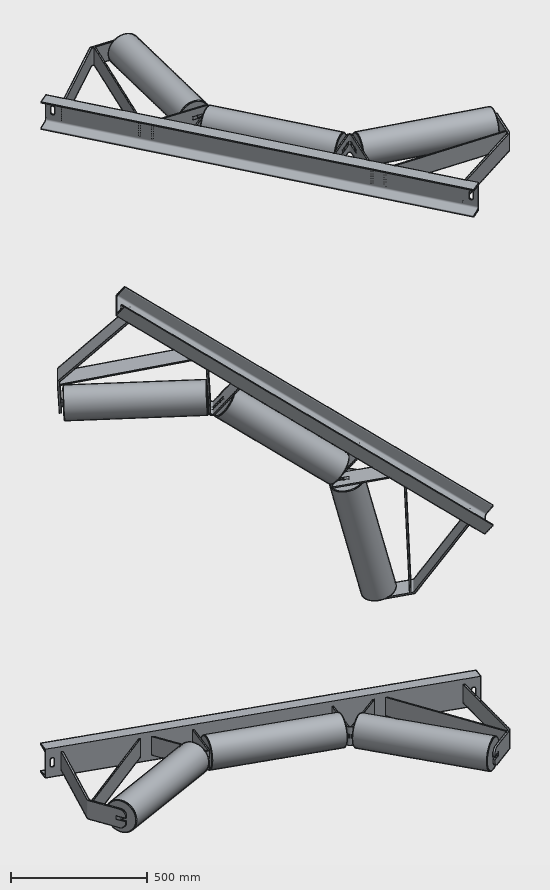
import cadquery as cq
import math

CHANNEL_LENGTH = 1700
CHANNEL_HEIGHT = 120
CHANNEL_DEPTH = 52
WEB_THICKNESS = 4.8
FLANGE_ROOT_THICKNESS = 10.5
FLANGE_TIP_THICKNESS = 6
FLANGE_ROOT_RADIUS = 7.5
FLANGE_TIP_RADIUS = 3
MOUNTING_SLOT_WIDTH = 16
MOUNTING_SLOT_HEIGHT = 38
MOUNTING_SLOT_END_DISTANCE = 28

ROLLER_DIAMETER = 133
ROLLER_LENGTH = 530
ROLLER_EDGE_CHAMFER = 3
TROUGH_ANGLE = 40
AXLE_DIAMETER = 25
AXLE_END_WIDTH = 14
AXLE_END_HEIGHT = 20
TOP_HEIGHT = 582.26
CENTRE_AXIS_HEIGHT = 169
WING_OUTER_END_X = 727

OUTER_BAR_THICKNESS = 8
INNER_BAR_THICKNESS = 6
BAR_WIDTH = 77
BEND_RADIUS = 6
CENTRE_GAP = 4
WING_INNER_GAP = 3
OUTER_GAP = 9
OUTER_BEND_HEIGHT = 443
STRUT_FOOT_X = 788
BRACE_FOOT_X = 482
PLATE_TIP_ABOVE_AXIS = 30
BRACE_BELOW_AXIS = 115
PLATE_TIP_RADIUS = 25
SLOT_CUT_LENGTH = 100
CENTRE_REACH = CENTRE_GAP + INNER_BAR_THICKNESS
WING_INNER_REACH = WING_INNER_GAP + INNER_BAR_THICKNESS
OUTER_REACH = OUTER_GAP + OUTER_BAR_THICKNESS

COS = math.cos(math.radians(TROUGH_ANGLE))
SIN = math.sin(math.radians(TROUGH_ANGLE))
WING_AXIS = cq.Vector(-COS, SIN, 0)
WING_ACROSS = cq.Vector(SIN, COS, 0)
VERTICAL = cq.Vector(0, 1, 0)
WING_OUTER_END_Y = TOP_HEIGHT - ROLLER_DIAMETER / 2 * COS + ROLLER_EDGE_CHAMFER * SIN
WING_OUTER_END = cq.Vector(-WING_OUTER_END_X, WING_OUTER_END_Y, 0)
WING_INNER_END = WING_OUTER_END - WING_AXIS * ROLLER_LENGTH
CENTRE_END = cq.Vector(-ROLLER_LENGTH / 2, CENTRE_AXIS_HEIGHT, 0)
CENTRE_AXIS = cq.Vector(1, 0, 0)


def mirrored(body):
    return body.mirror("YZ")


def line_meeting(point_a, direction_a, point_b, direction_b):
    """Point where two lines in the XY plane meet."""
    gap = point_b - point_a
    along = gap.cross(direction_b).z / direction_a.cross(direction_b).z
    return point_a + direction_a * along


def make_channel():
    half = CHANNEL_HEIGHT / 2
    inner_y = CHANNEL_DEPTH - WEB_THICKNESS
    root_z = half - FLANGE_ROOT_THICKNESS
    tip_z = half - FLANGE_TIP_THICKNESS
    outline = [
        (0, half), (CHANNEL_DEPTH, half), (CHANNEL_DEPTH, -half), (0, -half),
        (0, -tip_z), (inner_y, -root_z), (inner_y, root_z), (0, tip_z),
    ]
    channel = cq.Workplane("YZ").polyline(outline).close().extrude(CHANNEL_LENGTH / 2, both=True)
    for side in (-1, 1):
        root = cq.selectors.NearestToPointSelector((0, inner_y, side * root_z))
        channel = channel.edges(root).fillet(FLANGE_ROOT_RADIUS)
        tip = cq.selectors.NearestToPointSelector((0, 0, side * tip_z))
        channel = channel.edges(tip).fillet(FLANGE_TIP_RADIUS)
    slot_x = CHANNEL_LENGTH / 2 - MOUNTING_SLOT_END_DISTANCE
    slots = (
        cq.Workplane("XZ")
        .pushPoints([(-slot_x, 0), (slot_x, 0)])
        .slot2D(MOUNTING_SLOT_HEIGHT, MOUNTING_SLOT_WIDTH, 90)
        .extrude(-CHANNEL_DEPTH)
    )
    return channel.cut(slots)


def extrude_bar(corners):
    points = [(corner.x, corner.y) for corner in corners]
    return cq.Workplane("XY").polyline(points).close().extrude(BAR_WIDTH / 2, both=True)


def bent_bar(start, bend, end, thickness):
    """Strip with one bend; the points lie on its outer face, its thickness is to the right of travel."""
    first = (bend - start).normalized()
    second = (end - bend).normalized()
    first_inward = cq.Vector(first.y, -first.x, 0) * thickness
    second_inward = cq.Vector(second.y, -second.x, 0) * thickness
    inner_bend = line_meeting(start + first_inward, first, end + second_inward, second)
    bar = extrude_bar([start, bend, end, end + second_inward, inner_bend, start + first_inward])
    for corner, radius in ((bend, BEND_RADIUS + thickness), (inner_bend, BEND_RADIUS)):
        bar = bar.edges(cq.selectors.NearestToPointSelector(corner.toTuple())).fillet(radius)
    return bar


def axle_slot(centre, axis, across, thickness):
    """Cutter for a slot open at the top, its floor touching the underside of the axle."""
    plane = cq.Plane(origin=centre.toTuple(), xDir=across.toTuple(), normal=axis.toTuple())
    half_axle = AXLE_END_HEIGHT / 2
    return (
        cq.Workplane(plane)
        .center(SLOT_CUT_LENGTH / 2 - half_axle, 0)
        .rect(SLOT_CUT_LENGTH, AXLE_END_WIDTH)
        .extrude(thickness)
    )


def make_outer_bracket():
    """Strut rising from the channel, bent over into the plate that holds the wing roller's outer end."""
    face_point = WING_OUTER_END + WING_AXIS * OUTER_REACH
    level = cq.Vector(0, OUTER_BEND_HEIGHT, 0)
    bend = line_meeting(face_point, WING_ACROSS, level, cq.Vector(1, 0, 0))
    foot = cq.Vector(-STRUT_FOOT_X, CHANNEL_DEPTH, 0)
    start = foot + (foot - bend).normalized() * OUTER_BAR_THICKNESS
    tip = face_point + WING_ACROSS * PLATE_TIP_ABOVE_AXIS
    bracket = bent_bar(start, bend, tip, OUTER_BAR_THICKNESS)
    tip_corners = bracket.faces(cq.selectors.NearestToPointSelector(tip.toTuple())).edges("not |Z")
    bracket = tip_corners.edges("<Z or >Z").fillet(PLATE_TIP_RADIUS)
    slot_start = WING_OUTER_END + WING_AXIS * OUTER_GAP
    slot = axle_slot(slot_start, WING_AXIS, WING_ACROSS, OUTER_BAR_THICKNESS)
    return bracket.cut(slot)


def make_brace():
    """Straight bar from the outer plate, just above its bend, down to the channel."""
    foot = cq.Vector(-BRACE_FOOT_X, CHANNEL_DEPTH, 0)
    plate = WING_OUTER_END + WING_AXIS * (OUTER_GAP + OUTER_BAR_THICKNESS / 2)
    top = plate - WING_ACROSS * BRACE_BELOW_AXIS
    along = (foot - top).normalized()
    side = cq.Vector(-along.y, along.x, 0) * (INNER_BAR_THICKNESS / 2)
    end = foot + along * INNER_BAR_THICKNESS
    return extrude_bar([top + side, end + side, end - side, top - side])


def make_inner_bracket():
    """Bar leaning up behind the wing roller's inner end, bent down into the post of the centre roller."""
    wing_face = WING_INNER_END - WING_AXIS * WING_INNER_GAP
    post_face = CENTRE_END - CENTRE_AXIS * CENTRE_GAP
    bend = line_meeting(wing_face, WING_ACROSS, post_face, VERTICAL)
    level = cq.Vector(0, CHANNEL_DEPTH - INNER_BAR_THICKNESS, 0)
    start = line_meeting(wing_face, WING_ACROSS, level, cq.Vector(1, 0, 0))
    end = line_meeting(post_face, VERTICAL, level, cq.Vector(1, 0, 0))
    bracket = bent_bar(start, bend, end, INNER_BAR_THICKNESS)
    wing_slot = axle_slot(wing_face, WING_AXIS * -1, WING_ACROSS, INNER_BAR_THICKNESS)
    post_slot = axle_slot(post_face, CENTRE_AXIS * -1, VERTICAL, INNER_BAR_THICKNESS)
    return bracket.cut(wing_slot).cut(post_slot)


def make_frame():
    """Channel with the welded brackets of both sides."""
    bars = make_outer_bracket().union(make_brace()).union(make_inner_bracket())
    below_web = cq.Workplane("XY").box(
        CHANNEL_LENGTH, CHANNEL_DEPTH, CHANNEL_HEIGHT, centered=(True, False, True)
    )
    bars = bars.cut(below_web)
    return make_channel().union(bars).union(mirrored(bars))


def end_plane(end, axis):
    """Plane on a roller's end face, with its normal along the axis."""
    return cq.Plane(origin=end.toTuple(), xDir=(0, 0, 1), normal=axis.toTuple())


def make_roller(end, axis):
    body = cq.Workplane(end_plane(end, axis)).circle(ROLLER_DIAMETER / 2).extrude(ROLLER_LENGTH)
    body = body.edges("%CIRCLE").chamfer(ROLLER_EDGE_CHAMFER)
    bore = cq.Workplane(end_plane(end, axis)).circle(AXLE_DIAMETER / 2).extrude(ROLLER_LENGTH)
    return body.cut(bore)


def make_axle(end, axis, start_reach, end_reach):
    """Round axle with rectangular ends, reaching the outer faces of both bars."""
    bottom = end_plane(end - axis * start_reach, axis)
    length = start_reach + ROLLER_LENGTH + end_reach
    flatted = cq.Workplane(bottom).rect(AXLE_END_WIDTH, AXLE_END_HEIGHT).extrude(length)
    journal = cq.Workplane(end_plane(end, axis)).circle(AXLE_DIAMETER / 2).extrude(ROLLER_LENGTH)
    return flatted.union(journal)


frame = make_frame()
centre_roller = make_roller(CENTRE_END, CENTRE_AXIS)
centre_axle = make_axle(CENTRE_END, CENTRE_AXIS, CENTRE_REACH, CENTRE_REACH)
wing_roller = make_roller(WING_INNER_END, WING_AXIS)
wing_axle = make_axle(WING_INNER_END, WING_AXIS, WING_INNER_REACH, OUTER_REACH)

result = cq.Compound.makeCompound([
    frame.val(),
    centre_roller.val(),
    centre_axle.val(),
    wing_roller.val(),
    mirrored(wing_roller).val(),
    wing_axle.val(),
    mirrored(wing_axle).val(),
])